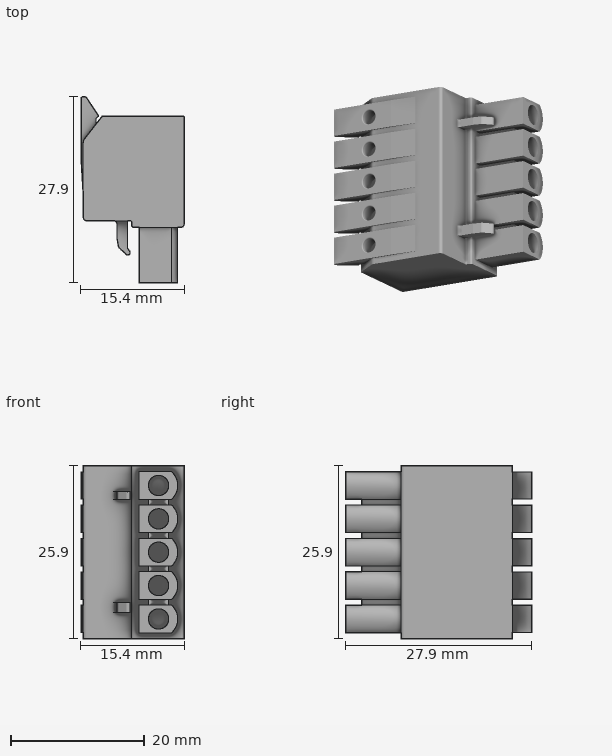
import cadquery as cq


pole_count = 5
pole_pitch = 5.0
height = 25.9
first_pole_z = (height - (pole_count - 1) * pole_pitch) / 2
pole_heights = [first_pole_z + i * pole_pitch for i in range(pole_count)]

body_left = 0.3
body_right = 15.4
body_back = 24.95
body_front = 8.3
recess_front = 9.28
step_x = 7.52
bevel_x = 3.15
bevel_y = 21.3
front_radius = 0.5
back_radius = 0.17
bevel_radius = 0.98
step_inner_radius = 0.17
step_outer_radius = 0.33

lever_thickness = 4.1
lever_tip = 27.87
lever_tip_width = 0.8
lever_tip_rise = 0.17
lever_taper_start = 17.86
lever_taper_end = 13.7
lever_taper_depth = 0.25
lever_root_x = 2.23
lever_barb_x = 2.62
lever_barb_y = 24.97
lever_barb_drop = 0.4
lever_hole_y = 21.7
lever_hole_diameter = 2.17
lever_hole_mouth = 0.17
lever_hole_depth = 2.5

plug_left = 8.67
plug_shoulder = 13.52
plug_right = 14.45
plug_thickness = 4.15
plug_hole_x = 11.57
plug_hole_diameter = 3.05
plug_hole_depth = 5.57
web_width = plug_hole_diameter
web_front = 2.42

hook_spans = [(3.9, 5.43), (20.82, 22.0)]
hook_left = 5.32
hook_right = 6.95
hook_root_radius = 0.47
hook_lean_start = (hook_left, 6.75)
hook_bend_start = (5.55, 5.45)
hook_bend_middle = (5.6, 5.35)
hook_bend_end = (5.69, 5.25)
hook_tip_start = (6.77, 4.2)
hook_tip_middle = (7.2, 4.25)
hook_tip_end = (7.3, 4.68)
hook_barb_y = 5.18


def make_body():
    outline = [
        (body_left, recess_front),
        (step_x, recess_front),
        (step_x, body_front),
        (body_right, body_front),
        (body_right, body_back),
        (bevel_x, body_back),
        (body_left, bevel_y),
    ]
    corner_radii = [
        front_radius,
        step_inner_radius,
        step_outer_radius,
        front_radius,
        back_radius,
        back_radius,
        bevel_radius,
    ]
    body = cq.Workplane("XY").polyline(outline).close().extrude(height)
    for (x, y), radius in zip(outline, corner_radii):
        corner = cq.selectors.NearestToPointSelector((x, y, height / 2))
        body = body.edges("|Z").edges(corner).fillet(radius)
    return body


def make_lever(z):
    tip_shoulder = lever_tip - lever_tip_rise
    return (
        cq.Workplane("XY", origin=(0, 0, z))
        .moveTo(lever_taper_depth, lever_taper_end)
        .lineTo(0, lever_taper_start)
        .lineTo(0, tip_shoulder)
        .threePointArc((lever_tip_width / 2, lever_tip), (lever_tip_width, tip_shoulder))
        .lineTo(lever_barb_x, lever_barb_y)
        .lineTo(lever_root_x, lever_barb_y - lever_barb_drop)
        .lineTo(lever_root_x, lever_taper_end)
        .close()
        .extrude(lever_thickness / 2, both=True)
    )


def make_lever_hole(z):
    """Blind hole into the lever face with a rounded mouth."""
    radius = lever_hole_diameter / 2
    return (
        cq.Workplane("XY", origin=(0, lever_hole_y, z))
        .lineTo(0, radius + lever_hole_mouth)
        .radiusArc((lever_hole_mouth, radius), -lever_hole_mouth)
        .lineTo(lever_hole_depth, radius)
        .lineTo(lever_hole_depth, 0)
        .close()
        .revolve(360, (0, 0, 0), (1, 0, 0))
    )


def make_plug(z):
    half = plug_thickness / 2
    return (
        cq.Workplane("XZ", origin=(0, 0, z))
        .moveTo(plug_left, -half)
        .lineTo(plug_shoulder, -half)
        .threePointArc((plug_right, 0), (plug_shoulder, half))
        .lineTo(plug_left, half)
        .close()
        .extrude(-body_front)
    )


def make_plug_hole(z):
    return (
        cq.Workplane("XZ", origin=(plug_hole_x, 0, z))
        .circle(plug_hole_diameter / 2)
        .extrude(-plug_hole_depth)
    )


def make_web():
    """Wall that joins all the plugs between the first and the last pole."""
    web_length = body_front - web_front
    web_height = pole_heights[-1] - pole_heights[0]
    return (
        cq.Workplane("XY", origin=(plug_hole_x, web_front, pole_heights[0]))
        .box(web_width, web_length, web_height, centered=(True, False, False))
    )


def make_hook(bottom, top):
    root = recess_front - hook_root_radius
    return (
        cq.Workplane("XY", origin=(0, 0, bottom))
        .moveTo(hook_left - hook_root_radius, recess_front)
        .radiusArc((hook_left, root), hook_root_radius)
        .lineTo(*hook_lean_start)
        .lineTo(*hook_bend_start)
        .threePointArc(hook_bend_middle, hook_bend_end)
        .lineTo(*hook_tip_start)
        .threePointArc(hook_tip_middle, hook_tip_end)
        .lineTo(hook_right, hook_barb_y)
        .lineTo(hook_right, recess_front)
        .close()
        .extrude(top - bottom)
    )


result = make_body()
for pole_z in pole_heights:
    result = result.union(make_lever(pole_z)).union(make_plug(pole_z))
result = result.union(make_web())
for hook_bottom, hook_top in hook_spans:
    result = result.union(make_hook(hook_bottom, hook_top))
for pole_z in pole_heights:
    result = result.cut(make_lever_hole(pole_z)).cut(make_plug_hole(pole_z))